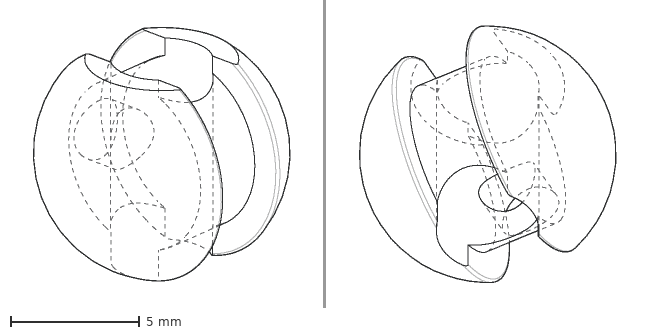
import cadquery as cq

ball_diameter = 10.0
groove_width = 3.1
groove_floor_diameter = 7.0
rim_fillet = 0.1
top_flat_height = 4.0
main_bore_diameter = 4.0
side_hole_diameter = 2.5

ball_radius = ball_diameter / 2
cutter_length = 2 * ball_diameter


def grooved_ball():
    """Ball with a ring groove around the Y axis and rounded groove rims."""
    groove = (
        cq.Workplane("XZ")
        .circle(ball_diameter)
        .circle(groove_floor_diameter / 2)
        .extrude(groove_width / 2, both=True)
    )
    ball = cq.Workplane("XY").sphere(ball_radius).cut(groove)
    groove_walls = ball.faces("|Y")
    rims = groove_walls.edges(cq.selectors.RadiusNthSelector(-1))
    return rims.fillet(rim_fillet)


def main_bore():
    """Vertical bore through the whole ball."""
    return cq.Workplane("XY").circle(main_bore_diameter / 2).extrude(cutter_length / 2, both=True)


def side_hole():
    """Hole from the -X side of the groove floor into the main bore."""
    return cq.Workplane("YZ").circle(side_hole_diameter / 2).extrude(-ball_diameter)


def top_flat():
    """Block that removes the ball above the top flat."""
    return (
        cq.Workplane("XY")
        .workplane(offset=top_flat_height)
        .rect(cutter_length, cutter_length)
        .extrude(ball_radius)
    )


result = grooved_ball().cut(top_flat()).cut(main_bore()).cut(side_hole())